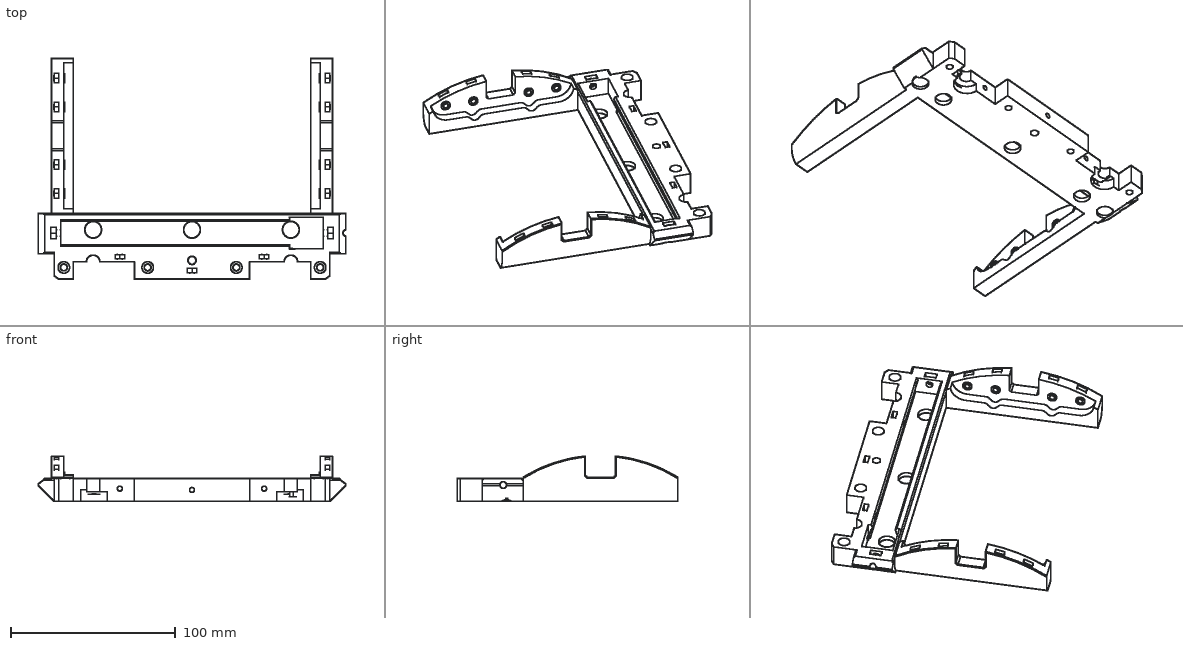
import cadquery as cq
import math

total_width = 186.67
total_depth = 134.0
total_height = 27.59

bar_height = 14.0
bar_back_y = 40.0
bar_edge_chamfer = 1.0
wing_front_y = 15.4
wing_tip_x = total_width / 2
wing_bottom_x = 83.7
wing_tip_low_z = wing_tip_x - wing_bottom_x
wing_tip_high_z = wing_tip_low_z + 1.0
wing_shoulder_x = 90.3
wing_shoulder_z = bar_height - bar_edge_chamfer
wing_top_x = 89.5

front_wall_y = 10.5
center_block_width = 70.0
leg_inner_x = 72.0
leg_chamfer_x = 2.8
leg_chamfer_y = 2.0

channel_floor_z = 3.0
channel_end_x = 79.8
channel_center_y = 28.0
channel_rim_half_width = 8.0
channel_nose_half_width = 7.0
channel_groove_half_width = 9.5
channel_floor_half_width = 8.5
channel_corner_height = 1.5
bay_start_x = 59.2
bay_half_width = 9.65

round_spacing = 60.0
floor_hole_diameter = 10.0
floor_hole_y = 30.0
magnet_x = 79.8
magnet_diameter = 10.0
magnet_depth = 2.0
notch_diameter = 8.0
notch_recess_x = 59.5
notch_recess_diameter = 16.2
notch_recess_height = 5.8
notch_step_x = 64.0
notch_step_height = 7.1
mount_hole_y = 7.1
mount_hole_diameter = 4.0
mount_head_diameter = 7.0
mount_head_depth = 7.0
leg_hole_x = 77.8
block_hole_x = 26.9
center_hole_y = 11.4
center_hole_diameter = 4.8

small_nut = (5.7, 2.7, 3.0)
large_nut = (7.1, 3.4, 4.0)
side_screw_x = 43.8
side_screw_z = 7.8
side_nut_y = 13.6
center_screw_z = 7.0
center_nut_y = 5.2
wing_nut_x = 84.0
wing_screw_z = 10.0

arm_outer_x = 85.5
arm_inner_x = leg_inner_x
arm_wall_inner_x = 77.8
arm_round_radius = 13.0
arm_round_height = 9.0
arm_chamfer = 0.5
arch_end_z = 14.6
arm_center_y = (bar_back_y + total_depth) / 2
gap_width = 18.2
gap_floor_z = 14.6
gap_corner = 1.3
recess_half_length = 44.5
recess_floor_z = 8.1
recess_end_radius = 9.5
dimple_offset = 18.0
dimple_half_width = 5.7
dimple_bottom_half_width = 1.9
dimple_slope_run = 1.7
arm_screw_offsets = (-35.0, -17.5, 17.5, 35.0)
arm_screw_z = 15.0
arm_nut_x = 82.3
arm_screw_end_x = arm_nut_x + 1.5
boss_diameter = 5.5
boss_height = 0.6


def box(x0, x1, y0, y1, z0, z1):
    size = (abs(x1 - x0), abs(y1 - y0), abs(z1 - z0))
    return cq.Workplane("XY").box(*size).translate(((x0 + x1) / 2, (y0 + y1) / 2, (z0 + z1) / 2))


def cylinder_z(x, y, diameter, z0, z1):
    return cq.Workplane("XY", origin=(x, y, z0)).circle(diameter / 2).extrude(z1 - z0)


def cylinder_y(x, z, diameter, y0, y1):
    return cq.Workplane("XZ", origin=(x, y0, z)).circle(diameter / 2).extrude(y0 - y1)


def cylinder_x(y, z, diameter, x0, x1):
    return cq.Workplane("YZ", origin=(x0, y, z)).circle(diameter / 2).extrude(x1 - x0)


def mirrored(solid):
    """The solid together with its mirror image across X = 0."""
    return solid.union(solid.mirror("YZ"))


def nut_slot(plane, x, y, z, nut):
    """Pocket open at the top, with a hexagon corner pointing down; plane is XZ or YZ."""
    across_flats, thickness, _ = nut
    half_width = across_flats / 2
    corner = across_flats / math.sqrt(3)
    return (
        cq.Workplane(plane, origin=(x, y, z))
        .moveTo(0, -corner)
        .lineTo(half_width, -corner / 2)
        .lineTo(half_width, total_height)
        .lineTo(-half_width, total_height)
        .lineTo(-half_width, -corner / 2)
        .close()
        .extrude(thickness / 2, both=True)
    )


def crossbar():
    wings = (
        cq.Workplane("XZ", origin=(0, wing_front_y, 0))
        .moveTo(-wing_bottom_x, 0)
        .lineTo(wing_bottom_x, 0)
        .lineTo(wing_tip_x, wing_tip_low_z)
        .lineTo(wing_tip_x, wing_tip_high_z)
        .lineTo(wing_shoulder_x, wing_shoulder_z)
        .lineTo(wing_top_x, bar_height)
        .lineTo(-wing_top_x, bar_height)
        .lineTo(-wing_shoulder_x, wing_shoulder_z)
        .lineTo(-wing_tip_x, wing_tip_high_z)
        .lineTo(-wing_tip_x, wing_tip_low_z)
        .close()
        .extrude(wing_front_y - bar_back_y)
    )
    wings = wings.faces("<Y or >Y").edges(">Z").chamfer(bar_edge_chamfer)
    front = box(-wing_bottom_x, wing_bottom_x, front_wall_y, bar_back_y - 1, 0, bar_height)
    block = box(-center_block_width / 2, center_block_width / 2, 0, front_wall_y, 0, bar_height)
    leg = (
        cq.Workplane("XY")
        .moveTo(leg_inner_x, 0)
        .lineTo(wing_bottom_x - leg_chamfer_x, 0)
        .lineTo(wing_bottom_x, leg_chamfer_y)
        .lineTo(wing_bottom_x, front_wall_y)
        .lineTo(leg_inner_x, front_wall_y)
        .close()
        .extrude(bar_height)
    )
    return wings.union(front).union(block).union(mirrored(leg))


def rail_channel():
    """Undercut channel with sloped corners, running into a plain rectangular bay."""
    profile = (
        (channel_rim_half_width, bar_height),
        (channel_nose_half_width, bar_height - channel_corner_height),
        (channel_groove_half_width, channel_floor_z + channel_corner_height),
        (channel_floor_half_width, channel_floor_z),
    )
    back_side = [(channel_center_y + half_width, z) for half_width, z in profile]
    front_side = [(channel_center_y - half_width, z) for half_width, z in reversed(profile)]
    channel = (
        cq.Workplane("YZ", origin=(-channel_end_x, 0, 0))
        .polyline(back_side + front_side)
        .close()
        .extrude(channel_end_x + bay_start_x)
    )
    bay_front_y = channel_center_y - bay_half_width
    bay_back_y = channel_center_y + bay_half_width
    bay = box(bay_start_x, channel_end_x, bay_front_y, bay_back_y, channel_floor_z, bar_height)
    return channel.union(bay)


def vertical_holes():
    cuts = cylinder_z(0, center_hole_y, center_hole_diameter, 0, bar_height)
    for x in (-round_spacing, 0, round_spacing):
        cuts = cuts.union(cylinder_z(x, floor_hole_y, floor_hole_diameter, 0, channel_floor_z))
    sides = cylinder_z(magnet_x, floor_hole_y, magnet_diameter, 0, magnet_depth)
    for x in (block_hole_x, leg_hole_x):
        head_z = bar_height - mount_head_depth
        sides = sides.union(cylinder_z(x, mount_hole_y, mount_hole_diameter, 0, bar_height))
        sides = sides.union(cylinder_z(x, mount_hole_y, mount_head_diameter, head_z, bar_height))
    return cuts.union(mirrored(sides))


def front_notches():
    """Half-round notches in the front wall, each widened by a stepped recess below."""
    notch = cylinder_z(round_spacing, front_wall_y, notch_diameter, 0, bar_height)
    recess = cylinder_z(notch_recess_x, front_wall_y, notch_recess_diameter, 0, notch_step_height)
    recess_y = (front_wall_y - notch_recess_diameter, front_wall_y + notch_recess_diameter)
    above = box(0, notch_step_x, *recess_y, notch_recess_height, notch_step_height)
    keep_clear_of_leg = box(0, leg_inner_x, *recess_y, 0, bar_height)
    return mirrored(notch.union(recess.cut(above)).intersect(keep_clear_of_leg))


def bar_screws():
    diameter = small_nut[2]
    side = nut_slot("XZ", side_screw_x, side_nut_y, side_screw_z, small_nut)
    channel_rim_y = channel_center_y - channel_rim_half_width
    side = side.union(cylinder_y(side_screw_x, side_screw_z, diameter, front_wall_y, channel_rim_y))
    center = nut_slot("XZ", 0, center_nut_y, center_screw_z, small_nut)
    center = center.union(cylinder_y(0, center_screw_z, diameter, 0, center_hole_y))
    wing_nut = nut_slot("YZ", wing_nut_x, channel_center_y, wing_screw_z, large_nut)
    right = cylinder_x(channel_center_y, wing_screw_z, large_nut[2], channel_end_x, wing_tip_x)
    left = cylinder_x(channel_center_y, wing_screw_z, large_nut[2], -wing_nut_x, -channel_end_x)
    return mirrored(side.union(wing_nut)).union(center).union(right).union(left)


def arm_blank():
    """Plate with an arched top, a central gap and a rounded lower outer edge."""
    half_length = arm_center_y - bar_back_y
    half_gap = gap_width / 2
    rise = total_height - arch_end_z
    drop = (half_length**2 - half_gap**2 - rise**2) / (2 * rise)
    radius = math.hypot(half_length, drop)
    apex_z = arch_end_z - drop + radius
    blank = (
        cq.Workplane("YZ", origin=(arm_inner_x, 0, 0))
        .moveTo(bar_back_y, 0)
        .lineTo(bar_back_y, arch_end_z)
        .threePointArc((arm_center_y, apex_z), (total_depth, arch_end_z))
        .lineTo(total_depth, 0)
        .close()
        .extrude(arm_outer_x - arm_inner_x)
    )
    gap = box(
        arm_inner_x, arm_outer_x, arm_center_y - half_gap, arm_center_y + half_gap, gap_floor_z, apex_z
    )
    blank = blank.cut(gap.edges("|X and <Z").chamfer(gap_corner))
    round_inset = arm_round_radius - math.sqrt(arm_round_radius**2 - arm_round_height**2)
    cross_section = (
        cq.Workplane("XZ", origin=(0, bar_back_y, 0))
        .moveTo(arm_inner_x, 0)
        .lineTo(arm_outer_x - round_inset, 0)
        .radiusArc((arm_outer_x, arm_round_height), -arm_round_radius)
        .lineTo(arm_outer_x, apex_z)
        .lineTo(arm_inner_x, apex_z)
        .close()
        .extrude(bar_back_y - total_depth)
    )
    blank = blank.intersect(cross_section)
    upper_edges = cq.selectors.BoxSelector(
        (arm_outer_x - 0.1, bar_back_y + 0.1, bar_height),
        (arm_outer_x + 0.1, total_depth - 0.1, apex_z),
    )
    return blank.edges(upper_edges).chamfer(arm_chamfer)


def arm_recess():
    """Clearance on the inner side, leaving a low foot with curved ends and two dimples."""
    start_y = arm_center_y - recess_half_length
    end_y = arm_center_y + recess_half_length
    slope_half_width = dimple_bottom_half_width + dimple_slope_run
    lip_run = dimple_half_width - slope_half_width
    arc_rise = math.tan(math.pi / 8)
    slope_top_z = recess_floor_z - lip_run * arc_rise
    slope_bottom_z = slope_top_z - dimple_slope_run
    bottom_z = slope_bottom_z - dimple_bottom_half_width * arc_rise
    lip_radius = lip_run * math.sqrt(2)
    outline = (
        cq.Workplane("YZ", origin=(arm_inner_x, 0, 0))
        .moveTo(start_y, total_height)
        .lineTo(start_y, recess_floor_z + recess_end_radius)
        .radiusArc((start_y + recess_end_radius, recess_floor_z), -recess_end_radius)
    )
    for y in (arm_center_y - dimple_offset, arm_center_y + dimple_offset):
        outline = (
            outline.lineTo(y - dimple_half_width, recess_floor_z)
            .radiusArc((y - slope_half_width, slope_top_z), lip_radius)
            .lineTo(y - dimple_bottom_half_width, slope_bottom_z)
            .threePointArc((y, bottom_z), (y + dimple_bottom_half_width, slope_bottom_z))
            .lineTo(y + slope_half_width, slope_top_z)
            .radiusArc((y + dimple_half_width, recess_floor_z), lip_radius)
        )
    return (
        outline.lineTo(end_y - recess_end_radius, recess_floor_z)
        .radiusArc((end_y, recess_floor_z + recess_end_radius), -recess_end_radius)
        .lineTo(end_y, total_height)
        .close()
        .extrude(arm_wall_inner_x - arm_inner_x)
    )


def arm():
    body = arm_blank().cut(arm_recess())
    boss_face_x = arm_wall_inner_x - boss_height
    for offset in arm_screw_offsets:
        y = arm_center_y + offset
        body = body.union(cylinder_x(y, arm_screw_z, boss_diameter, boss_face_x, arm_wall_inner_x))
        body = body.cut(nut_slot("YZ", arm_nut_x, y, arm_screw_z, small_nut))
        body = body.cut(cylinder_x(y, arm_screw_z, small_nut[2], boss_face_x, arm_screw_end_x))
    return body


frame = crossbar().union(mirrored(arm()))
for cut in (rail_channel(), vertical_holes(), front_notches(), bar_screws()):
    frame = frame.cut(cut)
result = frame